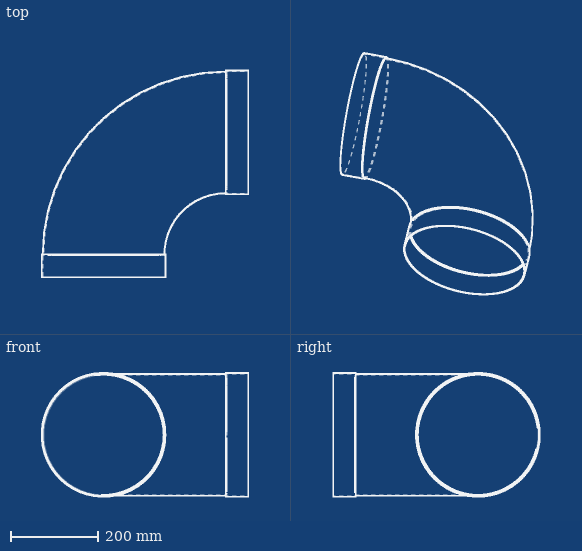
import cadquery as cq
import math

bend_diameter = 280.0
bend_radius = 280.0
bend_angle = 90.0
wall = 2.3
socket_depth = 50.0

bend_bore = bend_diameter - 2 * wall
collar_diameter = bend_diameter + 2 * wall
collar_length = socket_depth + wall


def solid_bend(diameter):
    """Solid quarter bend from the -Y facing end at the origin to the +X facing end."""
    return (
        cq.Workplane("XZ")
        .circle(diameter / 2)
        .revolve(bend_angle, (bend_radius, 0, 0), (bend_radius, -1, 0))
    )


def front_collar():
    """Solid collar running along -Y from the front end of the bend."""
    return cq.Workplane("XZ").circle(collar_diameter / 2).extrude(collar_length)


def front_socket():
    """Socket cavity along -Y, with a rounded lip leading into the bend bore.

    The lip is an arc of one wall thickness about the outer corner between
    bend and collar, so the wall stays constant around that corner.
    """
    socket_radius = bend_diameter / 2
    arc_offset = wall * math.sqrt(0.5)
    return (
        cq.Workplane("XY")
        .lineTo(bend_bore / 2, 0)
        .threePointArc((socket_radius - arc_offset, -arc_offset), (socket_radius, -wall))
        .lineTo(socket_radius, -collar_length)
        .lineTo(0, -collar_length)
        .close()
        .revolve(360, (0, 0, 0), (0, 1, 0))
    )


def at_both_ends(front_shape):
    """Join a front end shape with its copy turned onto the +X end of the bend."""
    side_shape = front_shape.rotate((0, 0, 0), (0, 0, 1), bend_angle)
    return front_shape.union(side_shape.translate((bend_radius, bend_radius, 0)))


outside = solid_bend(bend_diameter).union(at_both_ends(front_collar()))
passage = solid_bend(bend_bore).union(at_both_ends(front_socket()))
result = outside.cut(passage)